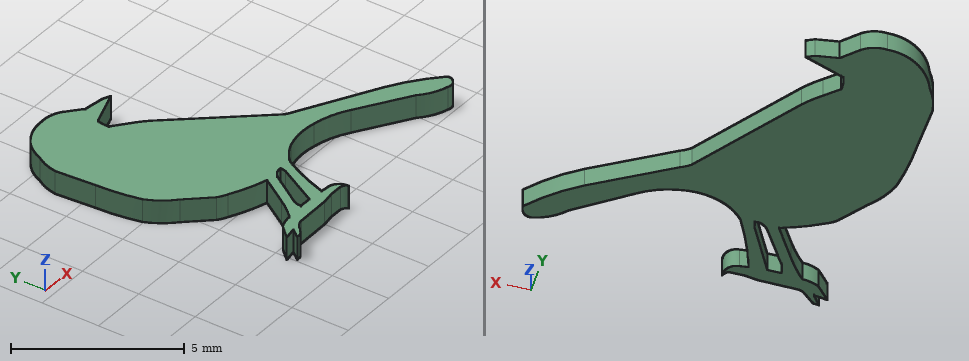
import cadquery as cq

length = 10.51
height = 9.43
thickness = 0.8

crown = (1.84, height)
brow = (3.09, 8.78)
beak_tip = (4.06, 8.55)
chin = (2.8, 8.12)
back_top = (3.72, 6.86)
tail_root = (6.2, 3.94)
tail_end = (length, 1.22)
tail_underside = (9.2, 1.41)
rear_leg_top = (4.33, 2.4)
rear_heel = (3.65, 0.8)
rear_claw = (4.31, 0.3)
sole_rear = (3.26, 0.41)
sole_front = (2.08, 0.39)
lower_toe = (1.32, 0)
toe_notch = (1.57, 0.32)
upper_toe = (1.14, 0.24)
ankle = (2.04, 0.79)
front_leg_top = (3.17, 2.4)
breast_top = (0, 7.64)


def draw_head_and_back(outline):
    """Crown, beak, throat and the straight back down to the tail."""
    return (
        outline.moveTo(*crown)
        .threePointArc((2.23, 9.4), (2.59, 9.22))
        .lineTo(*brow)
        .lineTo(3.79, 8.67)
        .lineTo(*beak_tip)
        .lineTo(*chin)
        .threePointArc((2.75, 7.95), (2.75, 7.7))
        .lineTo(3.21, 7.34)
        .threePointArc((3.47, 7.12), back_top)
        .lineTo(*tail_root)
    )


def draw_tail(outline):
    """Tapered tail with a rounded end, then the curved rump."""
    return (
        outline.threePointArc((6.34, 3.85), (6.51, 3.76))
        .lineTo(8.99, 2.41)
        .threePointArc((9.82, 1.85), tail_end)
        .threePointArc((10.42, 0.97), (10.08, 0.9))
        .threePointArc((9.7, 1.04), tail_underside)
        .lineTo(7.49, 2.5)
        .threePointArc((6.93, 2.8), (6.3, 2.96))
        .threePointArc((5.68, 3.01), (5.06, 2.88))
        .threePointArc((4.66, 2.68), rear_leg_top)
    )


def draw_legs_and_feet(outline):
    """Rear leg, hooked rear claw, sole, forked front toes and front leg."""
    return (
        outline.threePointArc((3.93, 1.58), rear_heel)
        .lineTo(3.91, 0.77)
        .threePointArc((4.2, 0.63), rear_claw)
        .threePointArc((4.25, 0.41), (4.13, 0.47))
        .lineTo(3.69, 0.47)
        .lineTo(*sole_rear)
        .lineTo(*sole_front)
        .threePointArc((1.95, 0.37), (1.86, 0.32))
        .lineTo(1.51, 0.02)
        .lineTo(*lower_toe)
        .lineTo(*toe_notch)
        .lineTo(*upper_toe)
        .lineTo(1.51, 0.65)
        .threePointArc((1.75, 0.75), ankle)
        .threePointArc((2.32, 1.11), (2.55, 1.44))
        .lineTo(*front_leg_top)
    )


def draw_belly_and_breast(outline):
    """Rounded belly and breast, closing at the crown."""
    return (
        outline.threePointArc((2.52, 2.62), (1.93, 2.89))
        .threePointArc((1.77, 2.97), (1.62, 3.08))
        .lineTo(0.91, 3.87)
        .threePointArc((0.55, 4.29), (0.29, 4.76))
        .threePointArc((0.17, 5.41), (0.09, 6.27))
        .lineTo(*breast_top)
        .threePointArc((0.1, 8.04), (0.29, 8.4))
        .threePointArc((0.94, 9.19), crown)
        .close()
    )


def leg_gap():
    """Through opening between the two legs."""
    return (
        cq.Workplane("XY")
        .moveTo(2.68, 0.84)
        .lineTo(3.1, 0.84)
        .lineTo(3.86, 2.23)
        .lineTo(3.9, 2.43)
        .threePointArc((3.66, 2.39), (3.48, 2.23))
        .lineTo(2.77, 1.17)
        .threePointArc((2.7, 1.01), (2.68, 0.84))
        .close()
        .extrude(thickness)
    )


outline = cq.Workplane("XY")
for draw_stretch in (draw_head_and_back, draw_tail, draw_legs_and_feet, draw_belly_and_breast):
    outline = draw_stretch(outline)

result = outline.extrude(thickness).cut(leg_gap())